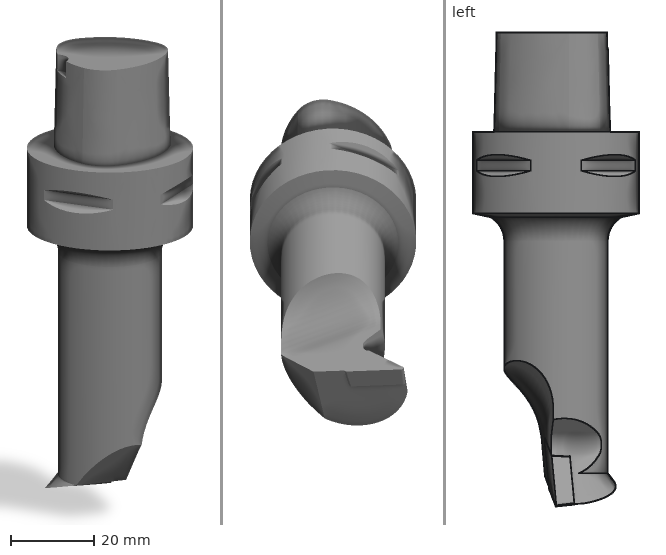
import cadquery as cq
import math


TAPER_LENGTH = 23.9
TAPER_ANGLE = 1.4
LOBE_REACH = 14.9
FLANK_REACH = 13.1
LOBE_RADIUS = 8.3
LOBE_COUNT = 3
NOTCH_RADIUS = 3.8
NOTCH_CENTRE_Y = -14.6
NOTCH_DEPTH = 4.1

FLANGE_RADIUS = 40.0 / 2
FLANGE_HEIGHT = 19.6
NECK_TOP_RADIUS = 15.7
NECK_TOP_Z = -20.5
BAR_RADIUS = 25.0 / 2
BAR_TOP_Z = -26.1
FLARE_TOP_Z = -82.1
FLARE_ANGLE = 37.0
FLARE_HEIGHT = 11.4

SLOT_COUNT = 4
SLOT_Z = -8.1
SLOT_FLOOR_DISTANCE = 17.8
SLOT_FLOOR_HEIGHT = 2.5
SLOT_MOUTH_HEIGHT = 5.2

HEAD_TURN = 7.0
RAKE_Y = 2.2
RUNOUT_Z = -70.2
RUNOUT_RADIUS = 13.7
RUNOUT_TILT = 17.0
END_Z = TAPER_LENGTH - 114.0
EDGE_ANGLE = 52.5
NOSE_ANGLE = 35.0
END_ANGLE = EDGE_ANGLE - NOSE_ANGLE
END_RELIEF = 2.0
HEAD_CLEARANCE = 0.5
GROOVE_RADIUS = 4.0
GROOVE_X = -11.9
GROOVE_Z = -75.2
GROOVE_TOP_ANGLE = 45.0
GROOVE_TURN = 2.5
BACK_TOP_Z = -71.5
BACK_ANGLE = 54.0

INSERT_SIDE = 16.0
INSERT_THICKNESS = 4.5
INSERT_RELIEF = 3.0
NOSE_RADIUS = 0.6
NOSE_CENTRE_X = -17.4

REACH = 34.2


def polar(start, distance, degrees):
    """Point at a distance and direction from a start point."""
    angle = math.radians(degrees)
    return (start[0] + distance * math.cos(angle), start[1] + distance * math.sin(angle))


NOSE_CENTRE = (NOSE_CENTRE_X, END_Z + NOSE_RADIUS)
NOSE_CORNER = polar(
    NOSE_CENTRE,
    -NOSE_RADIUS / math.sin(math.radians(NOSE_ANGLE / 2)),
    END_ANGLE + NOSE_ANGLE / 2,
)


def turn_head(shape):
    return shape.rotate((0, 0, 0), (0, 0, 1), HEAD_TURN)


def make_taper():
    """Lobe arcs and flank arcs, tangent to each other, drawn in toward the top."""
    lobe_distance = LOBE_REACH - LOBE_RADIUS
    half_pitch = math.radians(180 / LOBE_COUNT)
    lobe_side = lobe_distance * math.sin(half_pitch)
    lobe_drop = lobe_distance * math.cos(half_pitch)
    gap = FLANK_REACH - lobe_drop
    flank_radius = (lobe_side**2 + gap**2 - LOBE_RADIUS**2) / (2 * (gap - LOBE_RADIUS))
    flank_offset = flank_radius - FLANK_REACH
    half_flank = math.degrees(math.asin(lobe_side / (flank_radius - LOBE_RADIUS)))

    outline = None
    for i in range(LOBE_COUNT):
        flank = -90 + i * 360 / LOBE_COUNT
        centre = polar((0, 0), -flank_offset, flank)
        start = polar(centre, flank_radius, flank - half_flank)
        end = polar(centre, flank_radius, flank + half_flank)
        lobe = flank + 180 / LOBE_COUNT
        lobe_centre = polar((0, 0), lobe_distance, lobe)
        lobe_end = polar(lobe_centre, LOBE_RADIUS, 2 * lobe - flank - half_flank)
        if outline is None:
            outline = cq.Workplane("XY").moveTo(*start)
            first = start
        if i == LOBE_COUNT - 1:
            lobe_end = first
        outline = outline.threePointArc(polar((0, 0), FLANK_REACH, flank), end)
        outline = outline.threePointArc(polar((0, 0), LOBE_REACH, lobe), lobe_end)
    taper = outline.close().extrude(TAPER_LENGTH, taper=TAPER_ANGLE)
    notch = (
        cq.Workplane("XY", origin=(0, NOTCH_CENTRE_Y, TAPER_LENGTH - NOTCH_DEPTH))
        .circle(NOTCH_RADIUS)
        .extrude(NOTCH_DEPTH)
    )
    return taper.cut(notch)


def make_turned_body():
    """Flange, curved neck, bar and the flared end from which the head is cut."""
    rise = NECK_TOP_Z - BAR_TOP_Z
    spread = NECK_TOP_RADIUS - BAR_RADIUS
    neck_radius = (rise**2 + spread**2) / (2 * spread)
    half_sweep = math.asin(rise / neck_radius) / 2
    neck_middle = (
        BAR_RADIUS + neck_radius * (1 - math.cos(half_sweep)),
        BAR_TOP_Z + neck_radius * math.sin(half_sweep),
    )
    flare_radius = BAR_RADIUS + FLARE_HEIGHT * math.tan(math.radians(FLARE_ANGLE))
    flare_bottom_z = FLARE_TOP_Z - FLARE_HEIGHT
    return (
        cq.Workplane("XZ")
        .lineTo(FLANGE_RADIUS, 0)
        .lineTo(FLANGE_RADIUS, -FLANGE_HEIGHT)
        .lineTo(NECK_TOP_RADIUS, NECK_TOP_Z)
        .threePointArc(neck_middle, (BAR_RADIUS, BAR_TOP_Z))
        .lineTo(BAR_RADIUS, FLARE_TOP_Z)
        .lineTo(flare_radius, flare_bottom_z)
        .lineTo(0, flare_bottom_z)
        .close()
        .revolve(360, (0, 0, 0), (0, 1, 0))
    )


def make_slot(angle):
    """Straight slot across the flange rim with a flat floor and sloping walls."""
    depth = FLANGE_RADIUS - SLOT_FLOOR_DISTANCE
    slope = (SLOT_MOUTH_HEIGHT - SLOT_FLOOR_HEIGHT) / 2 / depth
    outer_x = FLANGE_RADIUS + depth
    outer_half = SLOT_MOUTH_HEIGHT / 2 + slope * depth
    floor_half = SLOT_FLOOR_HEIGHT / 2
    return (
        cq.Workplane("XZ")
        .moveTo(SLOT_FLOOR_DISTANCE, SLOT_Z - floor_half)
        .lineTo(outer_x, SLOT_Z - outer_half)
        .lineTo(outer_x, SLOT_Z + outer_half)
        .lineTo(SLOT_FLOOR_DISTANCE, SLOT_Z + floor_half)
        .close()
        .extrude(FLANGE_RADIUS, both=True)
        .rotate((0, 0, 0), (0, 0, 1), angle)
    )


def make_rake_cut():
    """Flat that clears the +Y half of the head, with a tilted round run-out at its top."""
    arc_centre = (RAKE_Y + RUNOUT_RADIUS, RUNOUT_Z)
    return (
        cq.Workplane("YZ")
        .moveTo(RAKE_Y, RUNOUT_Z - REACH)
        .lineTo(RAKE_Y, RUNOUT_Z)
        .threePointArc(
            polar(arc_centre, RUNOUT_RADIUS, 135),
            polar(arc_centre, RUNOUT_RADIUS, 90),
        )
        .lineTo(REACH, RUNOUT_Z + RUNOUT_RADIUS)
        .lineTo(REACH, RUNOUT_Z - REACH)
        .close()
        .extrude(REACH, both=True)
        .rotate((0, 0, RUNOUT_Z), (0, 1, RUNOUT_Z), RUNOUT_TILT)
    )


def make_chip_groove():
    """Round-bottomed relief above the cutting edge, turned to relieve the edge seat."""
    centre = (GROOVE_X, GROOVE_Z)
    top_tangent = polar(centre, GROOVE_RADIUS, 90 - GROOVE_TOP_ANGLE)
    bottom_tangent = polar(centre, GROOVE_RADIUS, EDGE_ANGLE - 90)
    return (
        cq.Workplane("XZ")
        .moveTo(*polar(top_tangent, REACH, 180 - GROOVE_TOP_ANGLE))
        .lineTo(*top_tangent)
        .threePointArc(polar(centre, GROOVE_RADIUS, 0), bottom_tangent)
        .lineTo(*polar(bottom_tangent, REACH, 180 + EDGE_ANGLE))
        .close()
        .extrude(REACH, both=True)
        .rotate((GROOVE_X, RAKE_Y, 0), (GROOVE_X, RAKE_Y, 1), GROOVE_TURN)
    )


def make_plane_cut(point, angle):
    """Block below a plane through a point of the rake face, sloping in XZ by an angle."""
    return (
        cq.Workplane("XY")
        .box(2 * REACH, 2 * REACH, REACH, centered=(True, True, False))
        .translate((0, 0, -REACH))
        .rotate((0, 0, 0), (0, 1, 0), -angle)
        .translate((point[0], RAKE_Y, point[1]))
    )


def make_end_cut():
    """Sloping end of the head, relieved upward away from the rake face."""
    point = polar(NOSE_CORNER, HEAD_CLEARANCE, END_ANGLE + 90)
    along = polar(point, 1.1, END_ANGLE)
    cut = make_plane_cut(point, END_ANGLE)
    return cut.rotate((point[0], RAKE_Y, point[1]), (along[0], RAKE_Y, along[1]), -END_RELIEF)


def make_back_cut():
    """Steep flat on the +X side of the head."""
    return make_plane_cut((BAR_RADIUS, BACK_TOP_Z), BACK_ANGLE)


def make_insert():
    """Rhombic plate flush with the rake face, with relieved sides and rounded sharp corners."""
    edge_corner = polar(NOSE_CORNER, INSERT_SIDE, EDGE_ANGLE)
    end_corner = polar(NOSE_CORNER, INSERT_SIDE, END_ANGLE)
    far_corner = polar(edge_corner, INSERT_SIDE, END_ANGLE)
    plate = (
        cq.Workplane("XZ", origin=(0, RAKE_Y, 0))
        .polyline([NOSE_CORNER, end_corner, far_corner, edge_corner])
        .close()
        .extrude(INSERT_THICKNESS, taper=INSERT_RELIEF)
    )
    return turn_head(plate.edges("not(#Y)").edges("<X or >X").fillet(NOSE_RADIUS))


def make_holder(insert):
    holder = make_turned_body()
    for cutter in (make_rake_cut(), make_chip_groove(), make_end_cut(), make_back_cut()):
        holder = holder.cut(turn_head(cutter))
    for i in range(SLOT_COUNT):
        holder = holder.cut(make_slot((i + 0.5) * 360 / SLOT_COUNT))
    return holder.union(make_taper()).cut(insert)


insert = make_insert()
holder = make_holder(insert)

result = cq.Compound.makeCompound([holder.val(), insert.val()])